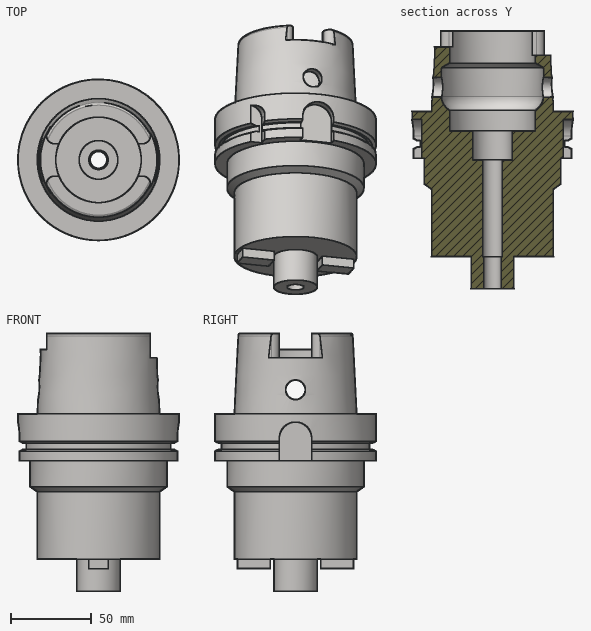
import cadquery as cq
import math


SHANK_LENGTH = 50.0
SHANK_BASE_RADIUS = 38.0
SHANK_TAPER = 0.05
SHANK_RIM_FILLET = 1.5
SHANK_TOP_RADIUS = SHANK_BASE_RADIUS - SHANK_TAPER * SHANK_LENGTH

FLANGE_RADIUS = 50.0
FLANGE_HEIGHT = 29.0
GROOVE_MID_Z = -20.0
GROOVE_FLOOR_RADIUS = 46.0
GROOVE_LIP_RADIUS = 47.7
GROOVE_INNER_HALF_HEIGHT = 1.9
GROOVE_OUTER_HALF_HEIGHT = 3.1

COLLAR_RADIUS = 42.5
COLLAR_BOTTOM_Z = -45.0
BODY_RADIUS = 38.0
BODY_SHOULDER_Z = -48.2
BODY_BOTTOM_Z = -90.0
PILOT_RADIUS = 13.5
PILOT_BOTTOM_Z = -110.0

MOUTH_RADIUS = 26.5
MOUTH_BOTTOM_Z = 30.0
CAVITY_RADIUS = 31.5
CAVITY_BOTTOM_Z = 9.5
CAVITY_FOOT_ARC_RADIUS = 10.0
BORE_FLOOR_Z = -12.0
GRIP_ANGLE = 60.0
COOLANT_RADIUS = 12.0
COOLANT_FLOOR_Z = -30.0
CLEARANCE_RADIUS = 6.0
SCREW_RADIUS = 5.2
SCREW_TOP_Z = BODY_BOTTOM_Z

DRIVE_WIDTH = 20.0
DRIVE_CORNER_RADIUS = 5.0
DRIVE_LIP_X = 32.2
DRIVE_FLOOR_LEFT_Z = 40.0
DRIVE_FLOOR_RIGHT_Z = 35.0

CROSS_HOLE_RADIUS = 6.0
CROSS_HOLE_Z = 15.0

KEYWAY_FLOOR_X = 44.0
KEYWAY_RADIUS = 10.0
RECESS_TOP_Z = -5.0
NOTCH_FLOOR_X = 31.9
NOTCH_RADIUS = 8.0
NOTCH_Y = 39.5

KEY_WIDTH = 12.0
KEY_HEIGHT = 5.8
KEY_INNER_Y = 15.6
KEY_OUTER_Y = 36.0


def make_outside():
    lip_top = GROOVE_MID_Z + GROOVE_OUTER_HALF_HEIGHT
    floor_top = GROOVE_MID_Z + GROOVE_INNER_HALF_HEIGHT
    floor_bottom = GROOVE_MID_Z - GROOVE_INNER_HALF_HEIGHT
    lip_bottom = GROOVE_MID_Z - GROOVE_OUTER_HALF_HEIGHT
    profile = [
        (0, PILOT_BOTTOM_Z),
        (PILOT_RADIUS, PILOT_BOTTOM_Z),
        (PILOT_RADIUS, BODY_BOTTOM_Z),
        (BODY_RADIUS, BODY_BOTTOM_Z),
        (BODY_RADIUS, BODY_SHOULDER_Z),
        (COLLAR_RADIUS, COLLAR_BOTTOM_Z),
        (COLLAR_RADIUS, -FLANGE_HEIGHT),
        (FLANGE_RADIUS, -FLANGE_HEIGHT),
        (FLANGE_RADIUS, lip_bottom),
        (GROOVE_LIP_RADIUS, floor_bottom),
        (GROOVE_FLOOR_RADIUS, floor_bottom),
        (GROOVE_FLOOR_RADIUS, floor_top),
        (GROOVE_LIP_RADIUS, floor_top),
        (FLANGE_RADIUS, lip_top),
        (FLANGE_RADIUS, 0),
        (SHANK_BASE_RADIUS, 0),
        (SHANK_TOP_RADIUS, SHANK_LENGTH),
        (0, SHANK_LENGTH),
    ]
    solid = cq.Workplane("YZ").polyline(profile).close().revolve(360, (0, 0), (0, 1))
    return solid.faces(">Z").edges().fillet(SHANK_RIM_FILLET)


def make_bore():
    """Stepped bore; the wide cavity curves back to the mouth radius at its foot."""
    step = CAVITY_RADIUS - MOUTH_RADIUS
    grip_height = step / math.tan(math.radians(GRIP_ANGLE))
    foot_angle = math.acos(1 - step / CAVITY_FOOT_ARC_RADIUS)
    foot_arc_center = CAVITY_RADIUS - CAVITY_FOOT_ARC_RADIUS

    def foot_point(angle):
        return (
            foot_arc_center + CAVITY_FOOT_ARC_RADIUS * math.cos(angle),
            CAVITY_BOTTOM_Z - CAVITY_FOOT_ARC_RADIUS * math.sin(angle),
        )

    return (
        cq.Workplane("YZ")
        .moveTo(0, PILOT_BOTTOM_Z)
        .lineTo(SCREW_RADIUS, PILOT_BOTTOM_Z)
        .lineTo(SCREW_RADIUS, SCREW_TOP_Z)
        .lineTo(CLEARANCE_RADIUS, SCREW_TOP_Z)
        .lineTo(CLEARANCE_RADIUS, COOLANT_FLOOR_Z)
        .lineTo(COOLANT_RADIUS, COOLANT_FLOOR_Z)
        .lineTo(COOLANT_RADIUS, BORE_FLOOR_Z)
        .lineTo(MOUTH_RADIUS, BORE_FLOOR_Z)
        .lineTo(*foot_point(foot_angle))
        .threePointArc(foot_point(foot_angle / 2), foot_point(0))
        .lineTo(CAVITY_RADIUS, MOUTH_BOTTOM_Z - grip_height)
        .lineTo(MOUTH_RADIUS, MOUTH_BOTTOM_Z)
        .lineTo(MOUTH_RADIUS, SHANK_LENGTH)
        .lineTo(0, SHANK_LENGTH)
        .close()
        .revolve(360, (0, 0), (0, 1))
    )


def make_drive_slot(side, floor_z):
    """Slot through the rim on one side, flaring outward with rounded corners."""
    half_width = DRIVE_WIDTH / 2
    flare_y = half_width + DRIVE_CORNER_RADIUS
    straight_x = side * (DRIVE_LIP_X - DRIVE_CORNER_RADIUS)
    lip_x = side * DRIVE_LIP_X
    far_x = side * FLANGE_RADIUS
    diagonal = DRIVE_CORNER_RADIUS * math.sqrt(0.5)
    arc_x = straight_x + side * diagonal
    arc_y = flare_y - diagonal
    return (
        cq.Workplane("XY", origin=(0, 0, floor_z))
        .moveTo(0, -half_width)
        .lineTo(straight_x, -half_width)
        .threePointArc((arc_x, -arc_y), (lip_x, -flare_y))
        .lineTo(lip_x, -FLANGE_RADIUS)
        .lineTo(far_x, -FLANGE_RADIUS)
        .lineTo(far_x, FLANGE_RADIUS)
        .lineTo(lip_x, FLANGE_RADIUS)
        .lineTo(lip_x, flare_y)
        .threePointArc((arc_x, arc_y), (straight_x, half_width))
        .lineTo(0, half_width)
        .close()
        .extrude(SHANK_LENGTH - floor_z)
    )


def make_flange_recess(side, floor_x, center_y, radius):
    """Round-topped recess, open at the flange underside and outward along X."""
    center_z = RECESS_TOP_Z - radius
    return (
        cq.Workplane("YZ", origin=(side * floor_x, 0, 0))
        .moveTo(center_y - radius, -FLANGE_HEIGHT)
        .lineTo(center_y - radius, center_z)
        .threePointArc((center_y, RECESS_TOP_Z), (center_y + radius, center_z))
        .lineTo(center_y + radius, -FLANGE_HEIGHT)
        .close()
        .extrude(side * (FLANGE_RADIUS - floor_x))
    )


def make_cross_hole():
    return (
        cq.Workplane("YZ", origin=(0, 0, CROSS_HOLE_Z))
        .circle(CROSS_HOLE_RADIUS)
        .extrude(SHANK_BASE_RADIUS, both=True)
    )


def make_driving_key(side):
    return (
        cq.Workplane("XY", origin=(0, 0, BODY_BOTTOM_Z))
        .center(0, side * (KEY_INNER_Y + KEY_OUTER_Y) / 2)
        .rect(KEY_WIDTH, KEY_OUTER_Y - KEY_INNER_Y)
        .extrude(-KEY_HEIGHT)
    )


result = make_outside().cut(make_bore()).cut(make_cross_hole())
result = result.cut(make_drive_slot(-1, DRIVE_FLOOR_LEFT_Z))
result = result.cut(make_drive_slot(1, DRIVE_FLOOR_RIGHT_Z))
for side in (-1, 1):
    result = result.cut(make_flange_recess(side, KEYWAY_FLOOR_X, 0, KEYWAY_RADIUS))
    result = result.union(make_driving_key(side))
result = result.cut(make_flange_recess(-1, NOTCH_FLOOR_X, NOTCH_Y, NOTCH_RADIUS))